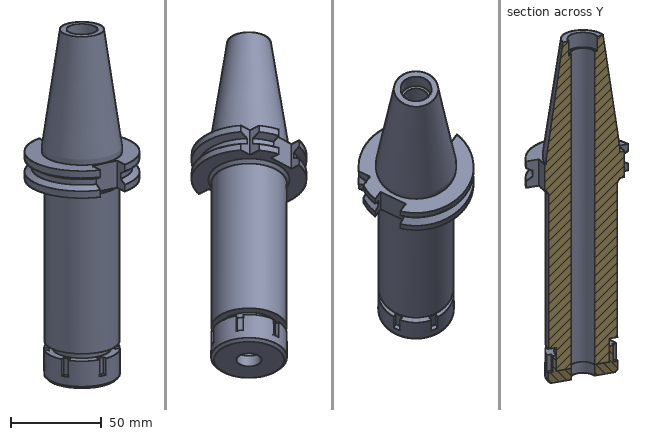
import cadquery as cq
import math

OVERALL_LENGTH = 203.5
GAUGE_Z = 135.0
FLANGE_TOP_Z = 131.8
FLANGE_BOTTOM_Z = 116.0
BODY_BOTTOM_Z = 20.7
NUT_HEIGHT = 16.5

GAUGE_RADIUS = 22.2
TAPER_RATIO = 7 / 24
TAPER_TOP_RADIUS = GAUGE_RADIUS - (OVERALL_LENGTH - GAUGE_Z) * TAPER_RATIO / 2

FLANGE_RADIUS = 31.7
GROOVE_FLOOR_RADIUS = 27.9
GROOVE_CENTRE_Z = 123.9
GROOVE_FLOOR_HALF_WIDTH = 1.6
GROOVE_WALL_ANGLE = 30.0
GROOVE_DEPTH = FLANGE_RADIUS - GROOVE_FLOOR_RADIUS
GROOVE_WALL_RISE = GROOVE_DEPTH * math.tan(math.radians(GROOVE_WALL_ANGLE))
GROOVE_MOUTH_HALF_WIDTH = GROOVE_FLOOR_HALF_WIDTH + GROOVE_WALL_RISE

KEYWAY_WIDTH = 16.0
KEYWAY_FLOOR_LEFT = 24.8
KEYWAY_FLOOR_RIGHT = 23.0

NOTCH_X = -18.7
NOTCH_Y = 18.5

BODY_RADIUS = 20.7
COLLAR_HEIGHT = 2.2
COLLAR_RADIUS = 22.4
NOSE_RADIUS = 16.0

MOUTH_BORE_RADIUS = 8.5
MOUTH_BORE_DEPTH = 8.7
THROUGH_BORE_RADIUS = 7.0

NUT_RADIUS = 21.0
NUT_CHAMFER = 1.6
SLOT_COUNT = 6
SLOT_WIDTH = 4.0
SLOT_BOTTOM_Z = 6.7
SLOT_FLOOR_RADIUS = 18.3
NOSE_END_Z = SLOT_BOTTOM_Z


def revolve_profile(points):
    """Revolve a closed (radius, z) outline about the Z axis."""
    return cq.Workplane("XZ").polyline(points).close().revolve(360, (0, 0, 0), (0, 1, 0))


def cylinder(radius, bottom_z, top_z):
    return cq.Workplane("XY").workplane(offset=bottom_z).circle(radius).extrude(top_z - bottom_z)


def block(x_min, x_max, y_min, y_max, z_min, z_max):
    size = (x_max - x_min, y_max - y_min, z_max - z_min)
    return cq.Workplane("XY").box(*size, centered=False).translate((x_min, y_min, z_min))


def make_flange():
    """Grooved flange with two drive keyways and an orientation notch."""
    flange = revolve_profile([
        (0, FLANGE_BOTTOM_Z),
        (FLANGE_RADIUS, FLANGE_BOTTOM_Z),
        (FLANGE_RADIUS, GROOVE_CENTRE_Z - GROOVE_MOUTH_HALF_WIDTH),
        (GROOVE_FLOOR_RADIUS, GROOVE_CENTRE_Z - GROOVE_FLOOR_HALF_WIDTH),
        (GROOVE_FLOOR_RADIUS, GROOVE_CENTRE_Z + GROOVE_FLOOR_HALF_WIDTH),
        (FLANGE_RADIUS, GROOVE_CENTRE_Z + GROOVE_MOUTH_HALF_WIDTH),
        (FLANGE_RADIUS, FLANGE_TOP_Z),
        (0, FLANGE_TOP_Z),
    ])
    heights = (FLANGE_BOTTOM_Z, FLANGE_TOP_Z)
    half_key = KEYWAY_WIDTH / 2
    left_keyway = block(-FLANGE_RADIUS, -KEYWAY_FLOOR_LEFT, -half_key, half_key, *heights)
    right_keyway = block(KEYWAY_FLOOR_RIGHT, FLANGE_RADIUS, -half_key, half_key, *heights)
    notch = block(-FLANGE_RADIUS, NOTCH_X, NOTCH_Y, FLANGE_RADIUS, *heights)
    return flange.cut(left_keyway).cut(right_keyway).cut(notch)


def make_holder():
    """Taper shank, flange, body and nose, bored through."""
    spindle = revolve_profile([
        (0, NOSE_END_Z),
        (NOSE_RADIUS, NOSE_END_Z),
        (NOSE_RADIUS, BODY_BOTTOM_Z),
        (BODY_RADIUS, BODY_BOTTOM_Z),
        (BODY_RADIUS, FLANGE_BOTTOM_Z - COLLAR_HEIGHT),
        (COLLAR_RADIUS, FLANGE_BOTTOM_Z),
        (GAUGE_RADIUS, FLANGE_TOP_Z),
        (GAUGE_RADIUS, GAUGE_Z),
        (TAPER_TOP_RADIUS, OVERALL_LENGTH),
        (0, OVERALL_LENGTH),
    ])
    through_bore = cylinder(THROUGH_BORE_RADIUS, NOSE_END_Z, OVERALL_LENGTH)
    mouth_bore = cylinder(MOUTH_BORE_RADIUS, OVERALL_LENGTH - MOUTH_BORE_DEPTH, OVERALL_LENGTH)
    return spindle.union(make_flange()).cut(through_bore).cut(mouth_bore)


def make_nut():
    """Chamfered nut with spanner slots, recessed to seat the nose."""
    nut = cylinder(NUT_RADIUS, 0, NUT_HEIGHT).faces("<Z").chamfer(NUT_CHAMFER)
    slot = block(SLOT_FLOOR_RADIUS, NUT_RADIUS, -SLOT_WIDTH / 2, SLOT_WIDTH / 2, SLOT_BOTTOM_Z, NUT_HEIGHT)
    for index in range(SLOT_COUNT):
        nut = nut.cut(slot.rotate((0, 0, 0), (0, 0, 1), index * 360 / SLOT_COUNT))
    nose_recess = cylinder(NOSE_RADIUS, NOSE_END_Z, NUT_HEIGHT)
    through_bore = cylinder(THROUGH_BORE_RADIUS, 0, NUT_HEIGHT)
    return nut.cut(nose_recess).cut(through_bore)


holder = make_holder()
nut = make_nut()

result = cq.Compound.makeCompound([holder.val(), nut.val()])